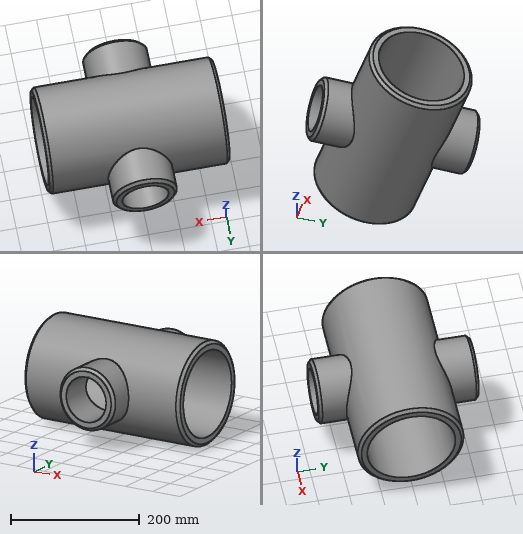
import cadquery as cq

main_length = 285.5
main_outer_diameter = 168.2
main_bore_diameter = 140.0

branch_length = 254.0
branch_outer_diameter = 101.5
branch_bore_diameter = 73.5

end_bevel = 4.9


def centered_cylinder(plane, diameter, length):
    """Solid cylinder centred on the origin, along the normal of the plane."""
    return cq.Workplane(plane).circle(diameter / 2).extrude(length / 2, both=True)


def beveled_cylinder(plane, diameter, length):
    """Centred cylinder with both end rims beveled."""
    cylinder = centered_cylinder(plane, diameter, length)
    return cylinder.faces("|X or |Y").edges().chamfer(end_bevel)


main_pipe = beveled_cylinder("YZ", main_outer_diameter, main_length)
branch_pipe = beveled_cylinder("XZ", branch_outer_diameter, branch_length)
main_bore = centered_cylinder("YZ", main_bore_diameter, main_length)
branch_bore = centered_cylinder("XZ", branch_bore_diameter, branch_length)

result = main_pipe.union(branch_pipe).cut(main_bore).cut(branch_bore)